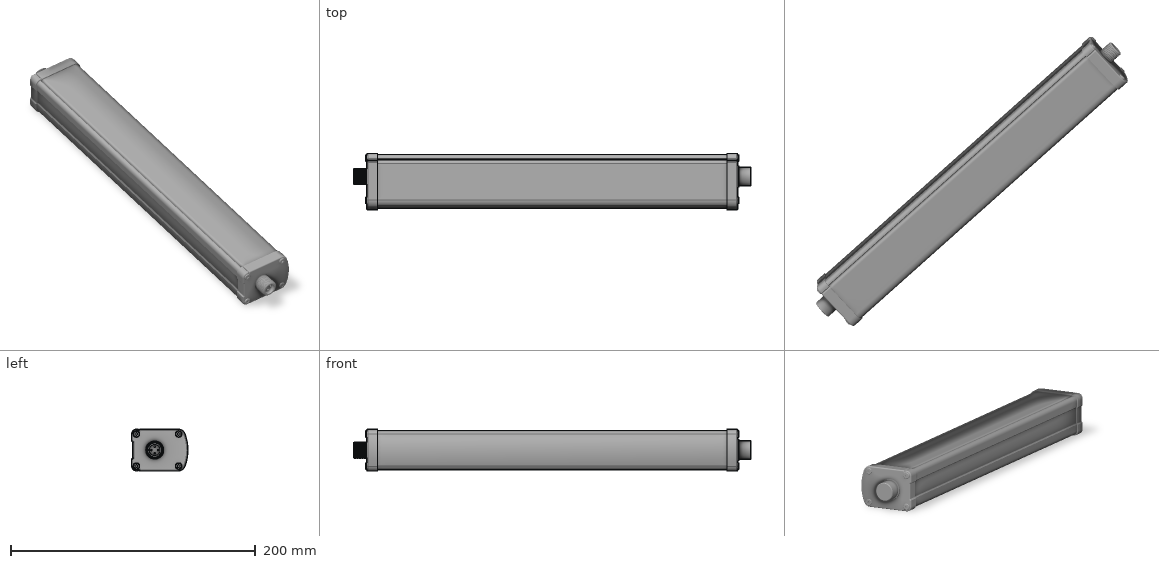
import cadquery as cq
import math

total_length = 325.1
section_depth = 46.2
section_height = 34.28
half_height = section_height / 2

connector_length = 11.0
cap_length = 9.0
cap_edge_radius = 1.0
cap_start = -total_length / 2 + connector_length
cap_end = total_length / 2 - connector_length
body_length = cap_end - cap_start - 2 * cap_length

back_y = 19.0
front_y = back_y - section_depth
back_recess_depth = 1.0
back_recess_half_height = 6.4
lobe_radius = 4.4
lobe_y = back_y - lobe_radius
lobe_z = half_height - lobe_radius
cap_lobe_flat = 1.0
cap_groove_y = back_y - 6.2
cap_groove_depth = 1.0
cap_shoulder_y = back_y - 7.4
body_inset = 1.0
body_lobe_flat = 0.1
body_groove_y = back_y - 5.4
body_groove_depth = 2.2
body_shoulder_y = back_y - 8.4
bulge_radius = 37.0
corner_radius = 6.0

screw_head_diameter = 5.4
screw_head_height = 1.0
socket_width = 2.0
socket_depth = 0.8
screw_head_chamfer = 0.4
screw_z = 13.1
screw_ys = (back_y - 4.0, back_y - 38.5)

thread_diameter = 13.4
thread_pitch = 1.0
thread_depth = 0.4
thread_count = 9
thread_tip_chamfer = 1.0
thread_relief_diameter = 14.7
thread_relief_depth = 1.0
socket_bore_diameter = 9.0
socket_bore_depth = 8.0
pin_diameter = 1.2
pin_length = 6.0
pin_circle_diameter = 5.4
pin_count = 4

barrel_diameter = 15.3
barrel_tip_chamfer = 0.5
collar_diameter = 17.4
collar_length = 1.1


def cylinder_x(diameter, start, length, y=0.0, z=0.0):
    """Cylinder along +X, starting at x = start."""
    return cq.Workplane("YZ", origin=(start, y, z)).circle(diameter / 2).extrude(length)


def on_circle(center, radius, angle):
    """Point of a circle in the YZ plane; the angle in radians runs from +Y to +Z."""
    return center[0] + radius * math.cos(angle), center[1] + radius * math.sin(angle)


def angle_of(center, point):
    return math.atan2(point[1] - center[1], point[0] - center[0])


def section_solid(start, length, inset, lobe_flat, groove_y, groove_depth, shoulder_y):
    """Extrusion of the lobed, bulged cross-section, drawn inward by inset.

    A groove parts each lobe from the flat top; its shoulder is an arc tangent to the flat top.
    """
    top_z = half_height - inset
    outer_y = back_y - inset
    lobe_middle = on_circle((lobe_y, lobe_z), lobe_radius - inset, math.pi / 4)
    groove = (groove_y, top_z - groove_depth)
    shoulder_width = groove_y - shoulder_y
    shoulder_radius = (shoulder_width**2 + groove_depth**2) / (2 * groove_depth)
    shoulder = (shoulder_y, top_z - shoulder_radius)
    shoulder_middle = on_circle(shoulder, shoulder_radius, (angle_of(shoulder, groove) + math.pi / 2) / 2)

    bulge = (front_y + bulge_radius, 0.0)
    corner_z = half_height - corner_radius
    center_gap = bulge_radius - corner_radius
    corner = (bulge[0] - math.sqrt(center_gap**2 - corner_z**2), corner_z)
    corner_r = corner_radius - inset
    bulge_angle = angle_of(bulge, corner)
    corner_middle = on_circle(corner, corner_r, (math.pi / 2 + bulge_angle) / 2)
    bulge_r = bulge_radius - inset
    bulge_middle = on_circle(bulge, bulge_r, (bulge_angle + math.pi) / 2)

    upper_half = (
        cq.Workplane("YZ", origin=(start, 0, 0))
        .moveTo(outer_y - back_recess_depth, 0)
        .lineTo(outer_y - back_recess_depth, back_recess_half_height)
        .lineTo(outer_y, back_recess_half_height + back_recess_depth)
        .lineTo(outer_y, lobe_z)
        .threePointArc(lobe_middle, (lobe_y, top_z))
        .lineTo(lobe_y - lobe_flat, top_z)
        .lineTo(*groove)
        .threePointArc(shoulder_middle, (shoulder_y, top_z))
        .lineTo(corner[0], top_z)
        .threePointArc(corner_middle, on_circle(corner, corner_r, bulge_angle))
        .threePointArc(bulge_middle, (front_y + inset, 0))
        .close()
        .extrude(length)
    )
    return upper_half.union(upper_half.mirror("XY")).clean()


def end_cap(start, outer_face):
    cap = section_solid(
        start, cap_length, 0.0, cap_lobe_flat, cap_groove_y, cap_groove_depth, cap_shoulder_y
    )
    return cap.faces(outer_face).fillet(cap_edge_radius)


def screw_head(y, z, face_x, direction):
    """Hex-socket screw head standing on a cap face; direction is +1 or -1 along X."""
    head = cylinder_x(screw_head_diameter, face_x, direction * screw_head_height, y, z)
    head = head.faces("<X" if direction < 0 else ">X").chamfer(screw_head_chamfer)
    socket = (
        cq.Workplane("YZ", origin=(face_x + direction * screw_head_height, y, z))
        .polygon(6, socket_width, circumscribed=True)
        .extrude(-direction * socket_depth)
    )
    return head.cut(socket)


def threaded_connector():
    """Male connector with ring-shaped thread grooves, a bore and contact pins."""
    tip_x = cap_start - connector_length
    length = connector_length + thread_relief_depth
    connector = cylinder_x(thread_diameter, tip_x, length).faces("<X").chamfer(thread_tip_chamfer)
    crest = thread_diameter / 2
    for i in range(thread_count):
        groove_x = tip_x + (i + 1) * thread_pitch
        groove = (
            cq.Workplane("XY")
            .moveTo(groove_x, crest)
            .lineTo(groove_x + thread_pitch / 2, crest - thread_depth)
            .lineTo(groove_x + thread_pitch, crest)
            .close()
            .revolve(360, (0, 0, 0), (1, 0, 0))
        )
        connector = connector.cut(groove)
    connector = connector.cut(cylinder_x(socket_bore_diameter, tip_x, socket_bore_depth))
    bore_floor_x = tip_x + socket_bore_depth
    for i in range(pin_count):
        y, z = on_circle((0, 0), pin_circle_diameter / 2, 2 * math.pi * i / pin_count)
        connector = connector.union(cylinder_x(pin_diameter, bore_floor_x, -pin_length, y, z))
    return connector


def smooth_connector():
    barrel = cylinder_x(barrel_diameter, cap_end, connector_length).faces(">X").chamfer(barrel_tip_chamfer)
    return barrel.union(cylinder_x(collar_diameter, cap_end, collar_length))


body = section_solid(
    cap_start + cap_length,
    body_length,
    body_inset,
    body_lobe_flat,
    body_groove_y,
    body_groove_depth,
    body_shoulder_y,
)
left_cap = end_cap(cap_start, "<X").cut(cylinder_x(thread_relief_diameter, cap_start, thread_relief_depth))
right_cap = end_cap(cap_end - cap_length, ">X")

result = body.union(left_cap).union(right_cap)
result = result.union(threaded_connector()).union(smooth_connector())
for screw_y in screw_ys:
    for side in (-1, 1):
        result = result.union(screw_head(screw_y, side * screw_z, cap_start, -1))
        result = result.union(screw_head(screw_y, side * screw_z, cap_end, 1))